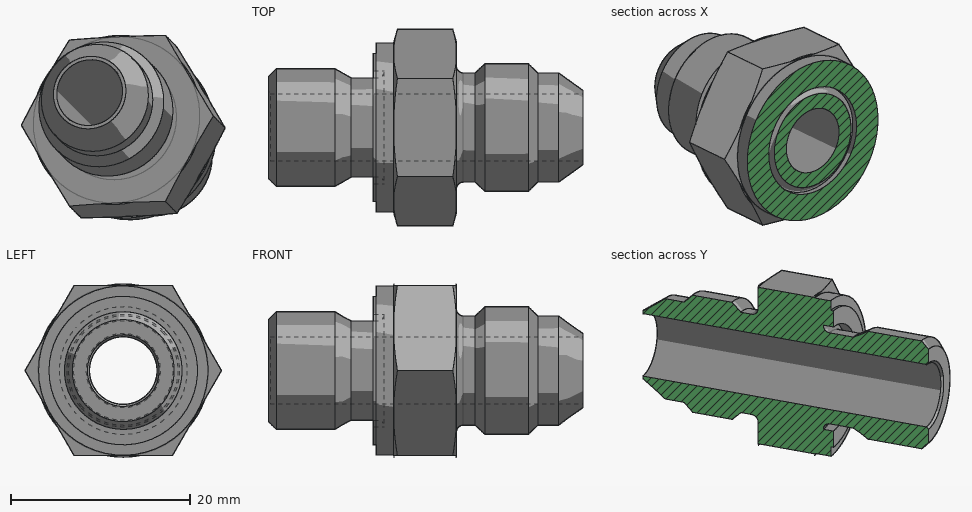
import cadquery as cq
import math

total_length = 35.1
port_chamfer_end = 0.88
port_thread_end = 7.45
port_neck_start = 9.23
seal_face = 11.7
recess_depth = 1.23
recess_floor = seal_face + recess_depth
flange_start = 12.0
hex_start = 13.97
hex_end = 21.0
tube_thread_foot = 23.05
tube_thread_start = 24.15
tube_thread_end = 29.0
nose_start = 30.05
cone_start = 32.35

port_tip_radius = 5.7
port_thread_radius = 6.55
port_neck_radius = 5.55
seal_radius = 8.3
flange_radius = 9.45
tube_neck_radius = 6.1
tube_thread_radius = 7.13
cone_tip_radius = 4.15
neck_fillet = 0.75
recess_radius = port_neck_radius + neck_fillet
bore_radius = 3.75
bore_chamfer = 0.25

hex_corners = 21.95
hex_chamfer_length = 0.42
rim_diameter = 19.35
corner_radius = hex_corners / 2
flat_radius = corner_radius * math.cos(math.pi / 6)
rim_radius = rim_diameter / 2
rim_thickness = hex_chamfer_length * (rim_radius - flat_radius) / (corner_radius - flat_radius)


def cylinder(start, length, radius):
    """Solid cylinder on the X axis."""
    return cq.Workplane("YZ", origin=(start, 0, 0)).circle(radius).extrude(length)


def turned_body():
    """Revolved port stud, flange with a ring recess in its sealing face, and coned tube end."""
    fillet_middle = neck_fillet * (1 - math.sqrt(0.5))
    profile = (
        cq.Workplane("XY")
        .lineTo(0, port_tip_radius)
        .lineTo(port_chamfer_end, port_thread_radius)
        .lineTo(port_thread_end, port_thread_radius)
        .lineTo(port_neck_start, port_neck_radius)
        .lineTo(recess_floor - neck_fillet, port_neck_radius)
        .threePointArc(
            (recess_floor - fillet_middle, port_neck_radius + fillet_middle),
            (recess_floor, recess_radius),
        )
        .lineTo(seal_face, recess_radius)
        .lineTo(seal_face, seal_radius)
        .lineTo(flange_start, seal_radius)
        .lineTo(flange_start, flange_radius)
        .lineTo(hex_end, flange_radius)
        .lineTo(hex_end, tube_neck_radius + neck_fillet)
        .threePointArc(
            (hex_end + fillet_middle, tube_neck_radius + fillet_middle),
            (hex_end + neck_fillet, tube_neck_radius),
        )
        .lineTo(tube_thread_foot, tube_neck_radius)
        .lineTo(tube_thread_start, tube_thread_radius)
        .lineTo(tube_thread_end, tube_thread_radius)
        .lineTo(nose_start, tube_neck_radius)
        .lineTo(cone_start, tube_neck_radius)
        .lineTo(total_length, cone_tip_radius)
        .lineTo(total_length, 0)
        .close()
    )
    return profile.revolve(360, (0, 0, 0), (1, 0, 0))


def hexagon():
    """Wrench hexagon with conically chamfered corners and a thin rim on each end face."""
    length = hex_end - hex_start
    prism = cq.Workplane("YZ", origin=(hex_start, 0, 0)).polygon(6, hex_corners).extrude(length)
    envelope = (
        cq.Workplane("XY")
        .moveTo(hex_start, 0)
        .lineTo(hex_start, flat_radius)
        .lineTo(hex_start + hex_chamfer_length, corner_radius)
        .lineTo(hex_end - hex_chamfer_length, corner_radius)
        .lineTo(hex_end, flat_radius)
        .lineTo(hex_end, 0)
        .close()
        .revolve(360, (0, 0, 0), (1, 0, 0))
    )
    body = prism.intersect(envelope)
    for rim_start in (hex_start, hex_end - rim_thickness):
        rim = envelope.intersect(cylinder(rim_start, rim_thickness, rim_radius))
        body = body.union(rim)
    return body


def bore():
    """Through bore with a small chamfer at the port end."""
    profile = (
        cq.Workplane("XY")
        .lineTo(0, bore_radius + bore_chamfer)
        .lineTo(bore_chamfer, bore_radius)
        .lineTo(total_length, bore_radius)
        .lineTo(total_length, 0)
        .close()
    )
    return profile.revolve(360, (0, 0, 0), (1, 0, 0))


result = turned_body().union(hexagon()).cut(bore())